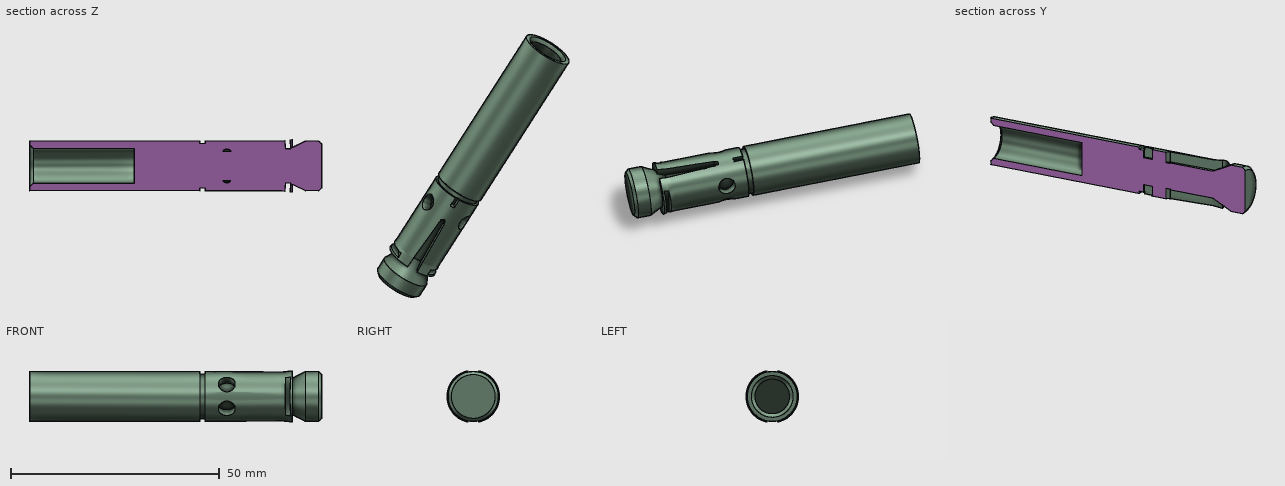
import cadquery as cq

LENGTH = 70.0
OUTER_RADIUS = 6.0

BODY_END = 40.8
BORE_RADIUS = 4.15
BORE_DEPTH = 25.0
BORE_MOUTH_RADIUS = 5.0
BORE_CHAMFER = BORE_MOUTH_RADIUS - BORE_RADIUS

GROOVE_RADIUS = 5.4

CORE_RADIUS = 3.5
CONE_START = 61.0
HEAD_START = 66.1
HEAD_CHAMFER = 0.75

SLEEVE_START = 42.05
SLEEVE_END = 62.95
COLLAR_START = 60.4
COLLAR_RADIUS = 6.3

HOLE_RADIUS = 2.0
HOLE_X = 47.25
HOLE_ANGLES = (30, 150, 210, 330)

SLOT_START = 49.1
SLOT_START_HALF_WIDTH = 0.65
SLOT_END_HALF_WIDTH = 1.35
SLOT_HOLE_X = 48.75
SLOT_HOLE_RADIUS = 0.55
SLOT_HOLE_DEPTH_IN_CORE = 0.15
SLOT_HOLE_FLOOR = CORE_RADIUS - SLOT_HOLE_DEPTH_IN_CORE
LOCATING_SLOT_LENGTH = 2.35
LOCATING_SLOT_WIDTH = 1.05

NOTCH_FLOOR = 4.15
NOTCH_START = 61.35
NOTCH_END = 62.55
NOTCH_LEAN = 0.2

CLEARANCE = 1.0


def revolve_about_x(points):
    profile = cq.Workplane("XY").polyline(points).close()
    return profile.revolve(360, (0, 0, 0), (1, 0, 0))


def make_body_and_core():
    return revolve_about_x([
        (0, BORE_MOUTH_RADIUS),
        (0, OUTER_RADIUS),
        (BODY_END, OUTER_RADIUS),
        (BODY_END, GROOVE_RADIUS),
        (SLEEVE_START, GROOVE_RADIUS),
        (SLEEVE_START, CORE_RADIUS),
        (CONE_START, CORE_RADIUS),
        (HEAD_START, OUTER_RADIUS),
        (LENGTH - HEAD_CHAMFER, OUTER_RADIUS),
        (LENGTH, OUTER_RADIUS - HEAD_CHAMFER),
        (LENGTH, 0),
        (BORE_DEPTH, 0),
        (BORE_DEPTH, BORE_RADIUS),
        (BORE_CHAMFER, BORE_RADIUS),
    ])


def make_sleeve():
    return revolve_about_x([
        (SLEEVE_START, 0),
        (SLEEVE_START, OUTER_RADIUS),
        (COLLAR_START, OUTER_RADIUS),
        (SLEEVE_END, COLLAR_RADIUS),
        (SLEEVE_END, 0),
    ])


def radial_hole(angle):
    hole = cq.Workplane("XZ").center(HOLE_X, 0).circle(HOLE_RADIUS)
    return hole.extrude(-(OUTER_RADIUS + CLEARANCE)).rotate((0, 0, 0), (1, 0, 0), angle)


def slot_cutters():
    """Tapered slot and locating slot, cut through the sleeve from top to bottom."""
    depth = COLLAR_RADIUS + CLEARANCE
    tapered = (
        cq.Workplane("XY")
        .moveTo(SLOT_START, -SLOT_START_HALF_WIDTH)
        .lineTo(SLEEVE_END, -SLOT_END_HALF_WIDTH)
        .lineTo(SLEEVE_END, SLOT_END_HALF_WIDTH)
        .lineTo(SLOT_START, SLOT_START_HALF_WIDTH)
        .close()
        .extrude(depth, both=True)
    )
    locating = (
        cq.Workplane("XY")
        .center(SLEEVE_START + LOCATING_SLOT_LENGTH / 2, 0)
        .rect(LOCATING_SLOT_LENGTH, LOCATING_SLOT_WIDTH)
        .extrude(depth, both=True)
    )
    return tapered.union(locating)


def slot_end_hole(side):
    """Flat-bottomed hole at the narrow end of a slot; side is +1 (top) or -1 (bottom)."""
    hole = cq.Workplane("XY", origin=(SLOT_HOLE_X, 0, side * SLOT_HOLE_FLOOR)).circle(SLOT_HOLE_RADIUS)
    return hole.extrude(side * OUTER_RADIUS)


def collar_notch(side):
    """Chordal notch with leaning walls; side is +1 (+Y) or -1 (-Y)."""
    notch = (
        cq.Workplane("XY")
        .moveTo(NOTCH_START, side * NOTCH_FLOOR)
        .lineTo(NOTCH_END, side * NOTCH_FLOOR)
        .lineTo(NOTCH_END - NOTCH_LEAN, side * COLLAR_RADIUS)
        .lineTo(NOTCH_START - NOTCH_LEAN, side * COLLAR_RADIUS)
        .close()
    )
    return notch.extrude(COLLAR_RADIUS, both=True)


sleeve = make_sleeve().cut(slot_cutters())
for hole_angle in HOLE_ANGLES:
    sleeve = sleeve.cut(radial_hole(hole_angle))

result = make_body_and_core().union(sleeve)
for direction in (1, -1):
    result = result.cut(slot_end_hole(direction))
    result = result.cut(collar_notch(direction))